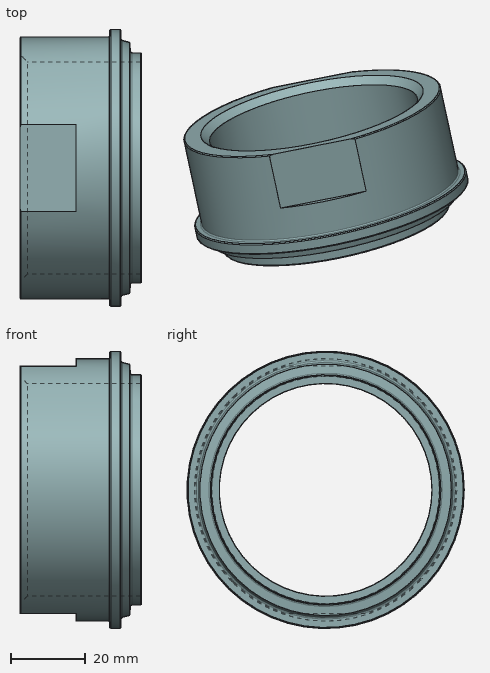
import cadquery as cq
import math

total_length = 32.5
body_radius = 70.0 / 2
bore_radius = 56.7 / 2

flange_radius = 74.0 / 2
flange_start = 24.0
flange_end = 27.0
taper_tip = 29.3
taper_root = 29.5
taper_base_radius = 34.1
taper_tip_radius = 33.5
spigot_radius = 61.5 / 2

corner_fillet = 0.4
edge_chamfer = 0.3
bore_chamfer_depth = 2.0
bore_chamfer_width = 2.0

flat_spacing = 66.0
flat_length = 15.0


def make_ring():
    """Revolve the stepped half section, with its chamfers and inner corner fillets."""
    arc_bulge = corner_fillet * (1 - math.sqrt(0.5))
    taper_slope = (taper_base_radius - taper_tip_radius) / (taper_tip - flange_end)
    taper_fillet_radius = taper_base_radius - taper_slope * corner_fillet
    section = (
        cq.Workplane("XY")
        .moveTo(0, bore_radius + bore_chamfer_width)
        .lineTo(0, body_radius - edge_chamfer)
        .lineTo(edge_chamfer, body_radius)
        .lineTo(flange_start - corner_fillet, body_radius)
        .threePointArc(
            (flange_start - arc_bulge, body_radius + arc_bulge),
            (flange_start, body_radius + corner_fillet),
        )
        .lineTo(flange_start, flange_radius - edge_chamfer)
        .lineTo(flange_start + edge_chamfer, flange_radius)
        .lineTo(flange_end - edge_chamfer, flange_radius)
        .lineTo(flange_end, flange_radius - edge_chamfer)
        .lineTo(flange_end, taper_base_radius + corner_fillet)
        .threePointArc(
            (flange_end + arc_bulge, taper_base_radius + arc_bulge),
            (flange_end + corner_fillet, taper_fillet_radius),
        )
        .lineTo(taper_tip, taper_tip_radius)
        .lineTo(taper_root, spigot_radius + corner_fillet)
        .threePointArc(
            (taper_root + arc_bulge, spigot_radius + arc_bulge),
            (taper_root + corner_fillet, spigot_radius),
        )
        .lineTo(total_length - edge_chamfer, spigot_radius)
        .lineTo(total_length, spigot_radius - edge_chamfer)
        .lineTo(total_length, bore_radius)
        .lineTo(bore_chamfer_depth, bore_radius)
        .close()
    )
    return section.revolve(360, (0, 0, 0), (1, 0, 0))


def cut_flats(ring):
    """Mill the two parallel flats from the entry face."""
    cut_height = flange_radius - flat_spacing / 2
    for side in (1, -1):
        cutter = cq.Workplane("XY").box(flat_length, 2 * flange_radius, cut_height)
        center_z = side * (flat_spacing + cut_height) / 2
        ring = ring.cut(cutter.translate((flat_length / 2, 0, center_z)))
    return ring


result = cut_flats(make_ring())